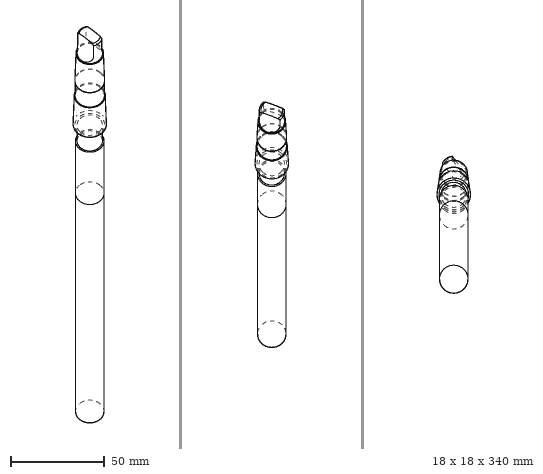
import cadquery as cq
import math

total_length = 340.0
shank_bottom = 198.5
neck_bottom = 245.0
collar_bottom = 259.0
collar_top = 285.5
relief_top = 298.5
taper_top = 323.0

rod_diameter = 15.3
neck_diameter = 13.5
relief_diameter = 15.5
taper_large_diameter = 18.0
taper_ratio = 0.05
collar_chamfer = 1.0

point_angle = 124.0

tang_diameter = 13.5
tang_thickness = 6.5
tang_flat_bottom = 328.8
tang_rim_chamfer = 1.0
tang_dome_height = 0.7


def taper_radius(height):
    """Radius of the conical shank surface at a height."""
    return (taper_large_diameter - taper_ratio * (height - collar_bottom)) / 2


def revolve_profile(points):
    """Turn an outline of (radius, height) points about the Z axis."""
    return cq.Workplane("XZ").polyline(points).close().revolve(360, (0, 0), (0, 1))


def make_cutting_rod():
    radius = rod_diameter / 2
    tip_height = radius / math.tan(math.radians(point_angle / 2))
    return revolve_profile([
        (0, 0),
        (radius, tip_height),
        (radius, shank_bottom),
        (0, shank_bottom),
    ])


def make_turned_shank():
    rod_radius = rod_diameter / 2
    neck_radius = neck_diameter / 2
    relief_radius = relief_diameter / 2
    tang_radius = tang_diameter / 2
    chamfer_top = collar_bottom + collar_chamfer
    dome_bottom = total_length - tang_dome_height
    dome_radius = tang_radius - tang_rim_chamfer
    return revolve_profile([
        (0, shank_bottom),
        (rod_radius, shank_bottom),
        (rod_radius, neck_bottom),
        (neck_radius, neck_bottom),
        (neck_radius, collar_bottom),
        (taper_radius(collar_bottom) - collar_chamfer, collar_bottom),
        (taper_radius(collar_bottom), chamfer_top),
        (taper_radius(collar_top), collar_top),
        (relief_radius, collar_top),
        (relief_radius, relief_top),
        (taper_radius(relief_top), relief_top),
        (taper_radius(taper_top), taper_top),
        (tang_radius, taper_top),
        (tang_radius, dome_bottom - tang_rim_chamfer),
        (dome_radius, dome_bottom),
        (0, dome_bottom),
    ])


def make_tang_dome():
    """Shallow spherical cap on top of the tang."""
    rim_radius = tang_diameter / 2 - tang_rim_chamfer
    rim_height = total_length - tang_dome_height
    ball_radius = (rim_radius**2 + tang_dome_height**2) / (2 * tang_dome_height)
    middle_angle = math.asin(rim_radius / ball_radius) / 2
    middle_radius = ball_radius * math.sin(middle_angle)
    middle_height = total_length - ball_radius * (1 - math.cos(middle_angle))
    return (
        cq.Workplane("XZ")
        .moveTo(0, rim_height)
        .lineTo(rim_radius, rim_height)
        .threePointArc((middle_radius, middle_height), (0, total_length))
        .close()
        .revolve(360, (0, 0), (0, 1))
    )


def make_tang_cut(side):
    """Flat on one side of the tang, running out in a concave arc at its foot."""
    flat_y = side * tang_thickness / 2
    arc_radius = tang_flat_bottom - taper_top
    arc_drop = arc_radius * math.sin(math.radians(45))
    outer_y = flat_y + side * arc_radius
    return (
        cq.Workplane("YZ")
        .moveTo(flat_y, total_length)
        .lineTo(flat_y, tang_flat_bottom)
        .threePointArc(
            (outer_y - side * arc_drop, tang_flat_bottom - arc_drop),
            (outer_y, taper_top),
        )
        .lineTo(outer_y, total_length)
        .close()
        .extrude(tang_diameter, both=True)
    )


def make_shank():
    shank = make_turned_shank().union(make_tang_dome())
    for side in (-1, 1):
        shank = shank.cut(make_tang_cut(side))
    return shank


cutting_rod = make_cutting_rod()
shank = make_shank()

result = cq.Compound.makeCompound([cutting_rod.val(), shank.val()])